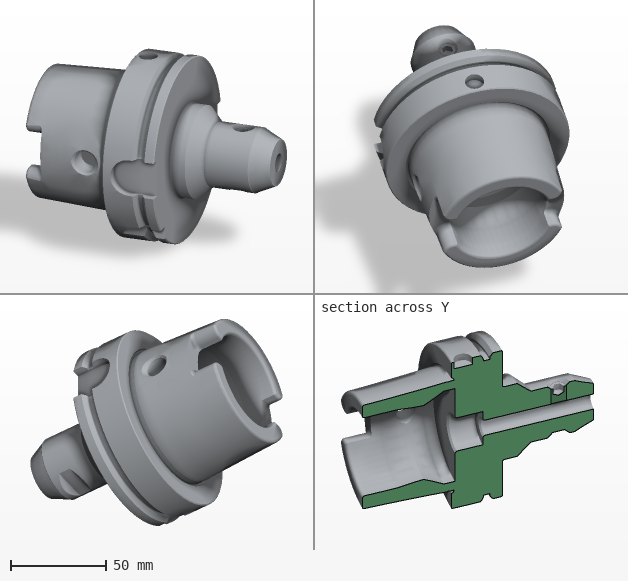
import cadquery as cq
import math

length = 130.0
flange_start = 50.0
flange_end = 78.8
collar_end = 87.0
neck_start = 94.8
nose_start = 119.5
nose_tip_chamfer = 0.9

shank_end_diameter = 71.0
shank_diameter = 75.4
flange_diameter = 100.0
collar_diameter = 50.0
neck_diameter = 35.1
nose_start_diameter = 34.5
nose_rim_diameter = 25.9
nose_end_diameter = 25.0

taper_end = 47.6
neck_groove_start = 48.4
neck_groove_end = 49.1
neck_groove_depth = 0.1
face_relief_diameter = 78.5
face_relief_depth = 1.3
flange_chamfer = 0.5
collar_fillet = 1.0

groove_left_edge = 66.7
groove_left_shoulder = 68.0
groove_left_floor = 68.4
groove_right_floor = 71.5
groove_right_edge = 73.5
groove_flank_depth = 2.5
groove_depth = 4.0

bore_diameter = 53.0
bore_end = 20.0
lip_diameter = 50.0
lip_x = 34.6
clamp_angle = 30.0
chamber_diameter = 63.0
hollow_floor = 52.0
thread_diameter = 22.4
thread_chamfer = 1.0
thread_end = 67.6
tool_bore_diameter = 10.0
tool_bore_lead_diameter = 12.0

front_slot_depth = 9.9
rear_slot_depth = 15.0
slot_width = 19.9
slot_step = 32.3
slot_corner_radius = 5.1
slot_root_fillet = 2.0
slot_inner_reach = 19.5
slot_web = 6.5
shank_edge_fillet = 1.5

side_hole_x = 35.0
side_hole_diameter = 12.0
side_hole_sink_diameter = 15.2
side_hole_wall = 37.0

keyway_width = 20.0
keyway_start = 54.7
keyway_floor = 44.0
notch_floor = 31.6
notch_center_z = -41.5
chip_hole_x = 56.8
chip_hole_diameter = 10.0
chip_hole_depth = 4.5

screw_x = 110.2
screw_hole_diameter = 8.5
screw_sink_diameter = 12.4
screw_diameter = 8.3
screw_top = 15.5
screw_bottom = 5.2
socket_width = 5.1
socket_depth = 3.9
socket_tip_depth = 1.4
balance_notch_floor_width = 6.6
balance_notch_depth = 3.0

flange_radius = flange_diameter / 2
neck_radius = neck_diameter / 2


def revolved(profile):
    """Close a half profile drawn as (x, radius) and turn it about the X axis."""
    return profile.close().revolve(360, (0, 0, 0), (1, 0, 0))


def outer_body():
    shank_radius = shank_diameter / 2
    neck_groove_radius = shank_radius - neck_groove_depth
    relief_radius = face_relief_diameter / 2
    collar_radius = collar_diameter / 2
    groove_flank_radius = flange_radius - groove_flank_depth
    groove_radius = flange_radius - groove_depth
    profile = (
        cq.Workplane("XY")
        .moveTo(0, 0)
        .lineTo(0, shank_end_diameter / 2)
        .lineTo(taper_end, shank_radius)
        .lineTo(neck_groove_start, neck_groove_radius)
        .lineTo(neck_groove_end, neck_groove_radius)
        .lineTo(flange_start, shank_radius)
        .lineTo(flange_start + face_relief_depth, shank_radius)
        .radiusArc((flange_start, relief_radius), -(relief_radius - shank_radius))
        .lineTo(flange_start, flange_radius - flange_chamfer)
        .lineTo(flange_start + flange_chamfer, flange_radius)
        .lineTo(groove_left_edge, flange_radius)
        .lineTo(groove_left_shoulder, groove_flank_radius)
        .lineTo(groove_left_floor, groove_radius)
        .lineTo(groove_right_floor, groove_radius)
        .lineTo(groove_right_floor, groove_flank_radius)
        .lineTo(groove_right_edge, flange_radius)
        .lineTo(flange_end - flange_chamfer, flange_radius)
        .lineTo(flange_end, flange_radius - flange_chamfer)
        .lineTo(flange_end, collar_radius + collar_fillet)
        .radiusArc((flange_end + collar_fillet, collar_radius), -collar_fillet)
        .lineTo(collar_end, collar_radius)
        .lineTo(neck_start, neck_radius)
        .lineTo(nose_start, neck_radius)
        .lineTo(nose_start + (neck_diameter - nose_start_diameter) / 2, nose_start_diameter / 2)
        .lineTo(length - nose_tip_chamfer, nose_rim_diameter / 2)
        .lineTo(length, nose_end_diameter / 2)
        .lineTo(length, 0)
    )
    return revolved(profile)


def hollow():
    """Bore that narrows to a lip, a chamber behind the lip, then the thread and the tool bore."""
    bore_radius = bore_diameter / 2
    chamber_radius = chamber_diameter / 2
    lip_radius = lip_diameter / 2
    clamp_length = (chamber_radius - lip_radius) / math.tan(math.radians(clamp_angle))
    thread_radius = thread_diameter / 2
    tool_radius = tool_bore_diameter / 2
    tool_lead_radius = tool_bore_lead_diameter / 2
    profile = (
        cq.Workplane("XY")
        .moveTo(0, 0)
        .lineTo(0, bore_radius)
        .lineTo(bore_end, bore_radius)
        .lineTo(lip_x, lip_radius)
        .lineTo(lip_x + clamp_length, chamber_radius)
        .lineTo(hollow_floor, chamber_radius)
        .lineTo(hollow_floor, thread_radius + thread_chamfer)
        .lineTo(hollow_floor + thread_chamfer, thread_radius)
        .lineTo(thread_end, thread_radius)
        .lineTo(thread_end, tool_lead_radius)
        .lineTo(thread_end + tool_lead_radius - tool_radius, tool_radius)
        .lineTo(length, tool_radius)
        .lineTo(length, 0)
    )
    return revolved(profile)


def slot_blank(depth):
    return (
        cq.Workplane("XY", origin=(0, slot_inner_reach, 0))
        .box(depth, flange_radius - slot_inner_reach, flange_diameter, centered=(False, False, True))
    )


def drive_slot(side, depth):
    """Slot across the shank end on one side of Y, with rounded teeth standing beside it.

    The teeth and the web behind them are shaped as one block, and the slot is what that block leaves free.
    """
    half_width = slot_width / 2
    step_half_width = half_width + slot_corner_radius
    arc_start = slot_step - slot_corner_radius
    outside = flange_radius
    tooth = (
        cq.Workplane("YZ")
        .moveTo(slot_inner_reach, half_width)
        .lineTo(arc_start, half_width)
        .radiusArc((slot_step, step_half_width), -slot_corner_radius)
        .lineTo(slot_step, outside)
        .lineTo(slot_inner_reach, outside)
        .close()
        .extrude(depth + slot_web)
    )
    web = slot_blank(slot_web).translate((depth, 0, 0))
    teeth = web.union(tooth).union(tooth.mirror("XY"))
    flank = cq.selectors.BoxSelector
    rim = flank((-0.1, arc_start - 0.6, -outside), (0.1, slot_step + 0.1, outside))
    root = flank((depth - 0.1, arc_start - 0.6, -outside), (depth + 0.1, slot_step + 0.1, outside))
    teeth = teeth.edges(rim).fillet(shank_edge_fillet)
    teeth = teeth.edges(root).fillet(slot_root_fillet)
    slot = slot_blank(depth + slot_web).cut(teeth)
    return slot if side > 0 else slot.mirror("XZ")


def side_holes():
    """Hole straight through both walls, countersunk at 45 degrees from outside."""
    hole_radius = side_hole_diameter / 2
    sink_radius = side_hole_sink_diameter / 2
    outside = face_relief_diameter / 2
    drill = (
        cq.Workplane("XY")
        .moveTo(0, 0)
        .lineTo(hole_radius, 0)
        .lineTo(hole_radius, side_hole_wall - (sink_radius - hole_radius))
        .lineTo(sink_radius + outside - side_hole_wall, outside)
        .lineTo(0, outside)
        .close()
        .revolve(360, (0, 0, 0), (0, 1, 0))
        .translate((side_hole_x, 0, 0))
    )
    return drill.union(drill.mirror("XZ"))


def round_ended_pocket(center_z, floor, side):
    """Pocket with a round end, open to the collar side of the flange and outward along Y."""
    radius = keyway_width / 2
    run = flange_end - keyway_start
    return (
        cq.Workplane("XZ", origin=(keyway_start, 0, center_z))
        .moveTo(run, -radius)
        .lineTo(radius, -radius)
        .threePointArc((0, 0), (radius, radius))
        .lineTo(run, radius)
        .close()
        .extrude(-side * flange_diameter)
        .translate((0, side * floor, 0))
    )


def chip_hole():
    return (
        cq.Workplane("XY", origin=(chip_hole_x, 0, flange_radius - chip_hole_depth))
        .circle(chip_hole_diameter / 2)
        .extrude(flange_radius)
    )


def screw_hole():
    hole_radius = screw_hole_diameter / 2
    sink_radius = screw_sink_diameter / 2
    return (
        cq.Workplane("XZ")
        .moveTo(0, 0)
        .lineTo(hole_radius, 0)
        .lineTo(hole_radius, neck_radius - (sink_radius - hole_radius))
        .lineTo(sink_radius, neck_radius)
        .lineTo(0, neck_radius)
        .close()
        .revolve(360, (0, 0, 0), (0, 1, 0))
        .translate((screw_x, 0, 0))
    )


def balance_notch():
    """Straight notch with 45 degree sides across the neck, opposite the screw."""
    floor_half = balance_notch_floor_width / 2
    mouth_half = floor_half + balance_notch_depth
    return (
        cq.Workplane("XZ", origin=(screw_x, 0, -neck_radius))
        .moveTo(-mouth_half, 0)
        .lineTo(-floor_half, balance_notch_depth)
        .lineTo(floor_half, balance_notch_depth)
        .lineTo(mouth_half, 0)
        .close()
        .extrude(neck_diameter, both=True)
    )


def make_holder():
    holder = outer_body().cut(hollow())
    holder = holder.faces("<X").edges().fillet(shank_edge_fillet)
    holder = holder.cut(drive_slot(-1, front_slot_depth)).cut(drive_slot(1, rear_slot_depth))
    holder = holder.cut(side_holes())
    for side in (1, -1):
        holder = holder.cut(round_ended_pocket(0, keyway_floor, side))
    holder = holder.cut(round_ended_pocket(notch_center_z, notch_floor, -1))
    holder = holder.cut(chip_hole()).cut(screw_hole()).cut(balance_notch())
    return holder


def make_screw():
    """Grub screw with a hexagon socket that ends in a drill point."""
    body = (
        cq.Workplane("XY", origin=(screw_x, 0, screw_bottom))
        .circle(screw_diameter / 2)
        .extrude(screw_top - screw_bottom)
    )
    across_corners = socket_width / math.cos(math.radians(30))
    socket = (
        cq.Workplane("XY", origin=(screw_x, 0, screw_top - socket_depth))
        .polygon(6, across_corners)
        .extrude(socket_depth)
    )
    tip = cq.Solid.makeCone(
        socket_width / 2, 0, socket_tip_depth,
        pnt=cq.Vector(screw_x, 0, screw_top - socket_depth), dir=cq.Vector(0, 0, -1))
    return body.cut(socket).cut(cq.Workplane(tip))


holder = make_holder()
screw = make_screw()

result = cq.Compound.makeCompound([holder.val(), screw.val()])